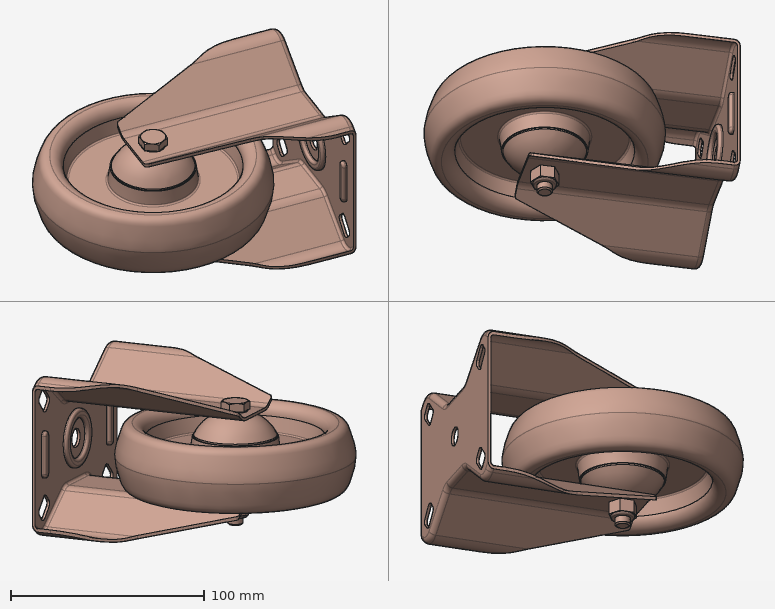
import cadquery as cq
import math


sheet = 1.5
plate_back = 92.5
plate_half_width = 50.0
fork_end = -11.3
leg_outer = 24.0
crest_outer = 42.0
bend_x = 11.5
bend_radius = 7.8
crest_x = 42.5
crest_radius = 10.0
plate_edge_radius = 3.1
tip_x = 20.3
tip_radius = 1.2
taper_x = 36.7
taper_y = 38.6
wing_mid = (40.8, 47.0)
wing_top_y = 82.2

slot_x = 38.8
slot_z = 28.7
slot_length = 12.1
slot_width = 9.0
slot_corner = 2.5
plate_hole_radius = 5.0
bead_width = 5.0
bead_height = 2.3
bead_edge_radius = 1.5
ring_bead_radius = 13.2
rib_bead_x = 39.5
rib_bead_straight = 20.2

wheel_radius = 62.5
tyre_half_width = 17.5
tyre_crest_radius = 53.5
shoulder_point = (60.1, 10.7)
rim_radius = 46.5
rim_half_width = 10.5
rim_wall_radius = 44.5
web_half = 2.0
hub_foot_radius = 23.5
hub_top_radius = 22.3
web_fillet = 1.0
cap_sphere_radius = 24.5
cap_radius = 21.7

bolt_radius = 4.0
bolt_end = -36.5
bolt_chamfer = 0.8
hex_flats = 13.0
washer_face_radius = 6.4
washer_face_height = 0.6
head_top = 29.3
hex_chamfer = 0.6
nut_hex_height = 6.8
collar_height = 1.4
collar_radius = 6.2
collar_fillet = 0.6

leg_inner = leg_outer - sheet
plate_front = plate_back - sheet
hex_corners = hex_flats / math.cos(math.pi / 6)


def polar(center, radius, angle):
    """Point on a circle, with the angle measured from +Z towards +X."""
    return (center[0] + radius * math.sin(angle), center[1] + radius * math.cos(angle))


def fork_block(inset, half_width, end_y):
    """Solid block enclosed by the bent sheet surface lying `inset` below the outer skin."""
    bend_center = (bend_x, leg_outer + bend_radius)
    crest_center = (crest_x, crest_outer - crest_radius)
    run = crest_center[0] - bend_center[0]
    rise = crest_center[1] - bend_center[1]
    slope = math.atan2(rise, run) + math.asin((bend_radius + crest_radius) / math.hypot(run, rise))
    bend_r = bend_radius + inset
    crest_r = crest_radius - inset
    crest_stop = polar(crest_center, crest_r, slope)
    edge_z = crest_stop[1] - (half_width - crest_stop[0]) * math.tan(slope)
    quarter = (
        cq.Workplane("XZ", origin=(0, plate_back - inset, 0))
        .moveTo(0, 0)
        .lineTo(0, leg_outer - inset)
        .lineTo(bend_x, leg_outer - inset)
        .threePointArc(polar(bend_center, bend_r, math.pi - slope / 2),
                       polar(bend_center, bend_r, math.pi - slope))
        .lineTo(*polar(crest_center, crest_r, -slope))
        .threePointArc(polar(crest_center, crest_r, 0), crest_stop)
        .lineTo(half_width, edge_z)
        .lineTo(half_width, 0)
        .close()
        .extrude(plate_back - inset - end_y)
    )
    half = quarter.union(quarter.mirror("YZ"))
    block = half.union(half.mirror("XY"))
    return block.faces(">Y").edges("not(<X or >X)").fillet(plate_edge_radius - inset)


def leg_outline():
    """Prism that trims the fork legs to their tapered outline."""
    taper = (taper_x - tip_x, taper_y - fork_end)
    half = (
        cq.Workplane("XY", origin=(0, 0, -crest_outer))
        .moveTo(0, fork_end)
        .lineTo(tip_x, fork_end)
        .lineTo(taper_x, taper_y)
        .spline([wing_mid, (plate_half_width, wing_top_y)], tangents=[taper, (0, 1)],
                includeCurrent=True)
        .lineTo(plate_half_width, plate_back)
        .lineTo(0, plate_back)
        .close()
        .extrude(2 * crest_outer)
    )
    half = half.edges("|Z").edges("<Y").edges(">X").fillet(tip_radius)
    return half.union(half.mirror("YZ"))


def plate_workplane():
    """Workplane on the inner face of the mounting plate, looking along -Y."""
    return cq.Workplane("XZ", origin=(0, plate_front, 0))


def ring_bead():
    ring = (
        plate_workplane()
        .circle(ring_bead_radius + bead_width / 2)
        .circle(ring_bead_radius - bead_width / 2)
        .extrude(bead_height)
    )
    return ring.faces("<Y").edges().fillet(bead_edge_radius)


def rib_bead(x):
    rib = (
        plate_workplane()
        .center(x, 0)
        .slot2D(rib_bead_straight + bead_width, bead_width, 90)
        .extrude(bead_height)
    )
    return rib.faces("<Y").edges().fillet(bead_edge_radius)


def mounting_slot(side_x, side_z):
    """Rounded slot whose long axis points diagonally towards the plate centre."""
    slot = (
        cq.Workplane("XZ", origin=(side_x * slot_x, plate_back, side_z * slot_z))
        .transformed(rotate=(0, 0, 45 * side_x * side_z))
        .rect(slot_length, slot_width)
        .extrude(sheet)
    )
    return slot.edges("|Y").fillet(slot_corner)


def make_bracket():
    clearance = 1.5
    outer = fork_block(0, plate_half_width, fork_end)
    inner = fork_block(sheet, plate_half_width + clearance, fork_end - clearance)
    body = outer.cut(inner).intersect(leg_outline())
    body = body.union(ring_bead())
    for side in (-1, 1):
        body = body.union(rib_bead(side * rib_bead_x))
    for side_x in (-1, 1):
        for side_z in (-1, 1):
            body = body.cut(mounting_slot(side_x, side_z))
    plate_hole = plate_workplane().circle(plate_hole_radius).extrude(-sheet)
    axle_hole = cq.Workplane("XY").circle(bolt_radius).extrude(crest_outer, both=True)
    return body.cut(plate_hole).cut(axle_hole)


def make_tyre():
    lip = tyre_crest_radius - rim_radius
    lip_drop = tyre_half_width - rim_half_width
    lip_mid = (tyre_crest_radius - lip * math.cos(math.pi / 4),
               rim_half_width + lip_drop * math.sin(math.pi / 4))
    lower_shoulder = (shoulder_point[0], -shoulder_point[1])
    return (
        cq.Workplane("XZ")
        .moveTo(rim_radius, -rim_half_width)
        .lineTo(rim_radius, rim_half_width)
        .threePointArc(lip_mid, (tyre_crest_radius, tyre_half_width))
        .spline([shoulder_point, (wheel_radius, 0)], tangents=[(1, 0), (0, -1)], includeCurrent=True)
        .spline([lower_shoulder, (tyre_crest_radius, -tyre_half_width)], tangents=[(0, -1), (-1, 0)],
                includeCurrent=True)
        .threePointArc((lip_mid[0], -lip_mid[1]), (rim_radius, -rim_half_width))
        .close()
        .revolve(360, (0, 0, 0), (0, 1, 0))
    )


def make_wheel_core():
    """Tapered hub, web and sloped rim in one piece, bored for the axle bolt."""
    upper = [
        (bolt_radius, rim_half_width),
        (hub_top_radius, rim_half_width),
        (hub_foot_radius, web_half),
        (rim_wall_radius, web_half),
        (rim_radius, rim_half_width),
    ]
    lower = [(r, -z) for r, z in reversed(upper)]
    core = cq.Workplane("XZ").polyline(upper + lower).close().revolve(360, (0, 0, 0), (0, 1, 0))
    reach = (rim_wall_radius + rim_radius) / 2
    web_corners = cq.selectors.BoxSelector((-reach, -reach, -2 * web_half), (reach, reach, 2 * web_half))
    return core.edges(web_corners).edges("%CIRCLE").fillet(web_fillet)


def make_hub_cap(side):
    """Spherical cap between the hub face and the fork leg; side is 1 for +Z, -1 for -Z."""
    band = (
        cq.Workplane("XY", origin=(0, 0, side * rim_half_width))
        .circle(cap_radius)
        .circle(bolt_radius)
        .extrude(side * (leg_inner - rim_half_width))
    )
    return band.intersect(cq.Workplane("XY").sphere(cap_sphere_radius))


def make_bolt():
    shank = cq.Workplane("XY", origin=(0, 0, bolt_end)).circle(bolt_radius).extrude(leg_outer - bolt_end)
    shank = shank.faces("<Z").chamfer(bolt_chamfer)
    washer_face = (
        cq.Workplane("XY", origin=(0, 0, leg_outer)).circle(washer_face_radius).extrude(washer_face_height)
    )
    head_bottom = leg_outer + washer_face_height
    head_height = head_top - head_bottom
    head = cq.Workplane("XY", origin=(0, 0, head_bottom)).polygon(6, hex_corners).extrude(head_height)
    crown = (
        cq.Workplane("XY", origin=(0, 0, head_bottom))
        .circle(hex_corners / 2)
        .extrude(head_height)
        .faces(">Z")
        .chamfer(hex_chamfer, (hex_corners - hex_flats) / 2)
    )
    return shank.union(washer_face).union(head.intersect(crown))


def make_nut():
    """Lock nut with a round collar at its free end."""
    body = (
        cq.Workplane("XY", origin=(0, 0, -leg_outer))
        .transformed(rotate=(0, 0, 30))
        .polygon(6, hex_corners)
        .extrude(-nut_hex_height)
    )
    collar = (
        cq.Workplane("XY", origin=(0, 0, -leg_outer - nut_hex_height))
        .circle(collar_radius)
        .extrude(-collar_height)
        .faces("<Z")
        .edges()
        .fillet(collar_fillet)
    )
    thread = cq.Workplane("XY").circle(bolt_radius).extrude(bolt_end)
    return body.union(collar).cut(thread)


bracket = make_bracket()
tyre = make_tyre()
wheel_core = make_wheel_core()
hub_caps = [make_hub_cap(side) for side in (1, -1)]
bolt = make_bolt()
nut = make_nut()

result = cq.Compound.makeCompound(
    [bracket.val(), tyre.val(), wheel_core.val(), *[cap.val() for cap in hub_caps], bolt.val(), nut.val()]
)